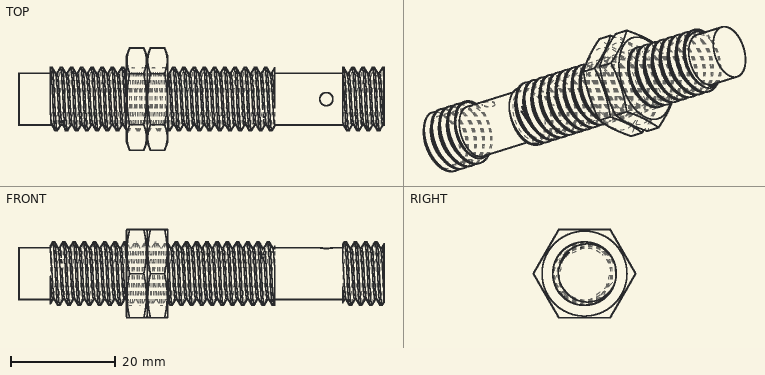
import cadquery as cq
import math

LENGTH = 70.0
ROOT_DIAMETER = 10.0
ROOT_RADIUS = ROOT_DIAMETER / 2

CREST_RADIUS = 6.1
PITCH = 1.95
RIDGE_BASE_WIDTH = 1.6
RIDGE_CREST_WIDTH = 0.35
RIDGE_EMBED = 0.15
MAIN_THREAD_START = 6.0
MAIN_THREAD_END = 49.1
MAIN_THREAD_CREST = 6.65
PLUG_THREAD_START = 62.1
PLUG_THREAD_CREST = 62.6

WINDOW_X = 58.95
WINDOW_RADIUS = 1.25
WINDOW_HEIGHT = math.sqrt(ROOT_RADIUS**2 - WINDOW_RADIUS**2)

NUT_START = 20.6
NUT_SECTION_LENGTH = 4.0
NUT_SECTION_COUNT = 2
ACROSS_FLATS = 17.0
CORNER_RADIUS = ACROSS_FLATS / math.sqrt(3)
NUT_FACE_DIAMETER = 16.3
NUT_FACE_RADIUS = NUT_FACE_DIAMETER / 2
CORNER_CHAMFER_LENGTH = 0.6


def rod(start, end, radius):
    """Cylinder around the X axis."""
    return cq.Workplane("YZ", origin=(start, 0, 0)).circle(radius).extrude(end - start)


def thread_ridge(start, end, crest_x):
    """Helical ridge cut square at start and end; crest_x lies on the +Z side."""
    first_turn = crest_x - 2 * PITCH
    height = math.ceil((end - first_turn) / PITCH + 1) * PITCH
    helix = cq.Wire.makeHelix(PITCH, height, ROOT_RADIUS)
    flank_slope = (RIDGE_BASE_WIDTH - RIDGE_CREST_WIDTH) / 2 / (CREST_RADIUS - ROOT_RADIUS)
    inner_half = RIDGE_BASE_WIDTH / 2 + flank_slope * RIDGE_EMBED
    crest_half = RIDGE_CREST_WIDTH / 2
    inner_radius = ROOT_RADIUS - RIDGE_EMBED
    profile = cq.Workplane("XZ").polyline([
        (inner_radius, -inner_half),
        (CREST_RADIUS, -crest_half),
        (CREST_RADIUS, crest_half),
        (inner_radius, inner_half),
    ]).close()
    ridge = profile.sweep(cq.Workplane(helix), isFrenet=True)
    ridge = ridge.rotate((0, 0, 0), (0, 1, 0), 90)
    ridge = ridge.rotate((0, 0, 0), (1, 0, 0), 180)
    ridge = ridge.translate((first_turn, 0, 0))
    return ridge.intersect(rod(start, end, 2 * CREST_RADIUS))


def make_sensor():
    """Threaded barrel with a flat, round indicator window."""
    barrel = rod(0, LENGTH, ROOT_RADIUS)
    window_cut = (
        cq.Workplane("XY", origin=(WINDOW_X, 0, WINDOW_HEIGHT))
        .circle(WINDOW_RADIUS)
        .extrude(ROOT_RADIUS)
    )
    main_thread = thread_ridge(MAIN_THREAD_START, MAIN_THREAD_END, MAIN_THREAD_CREST)
    plug_thread = thread_ridge(PLUG_THREAD_START, LENGTH, PLUG_THREAD_CREST)
    return barrel.cut(window_cut).union(main_thread).union(plug_thread)


def nut_section(start):
    """Hexagonal section with flats facing +Z and -Z and cone-chamfered corners."""
    hexagon = (
        cq.Workplane("YZ", origin=(start, 0, 0))
        .polygon(6, 2 * CORNER_RADIUS)
        .extrude(NUT_SECTION_LENGTH)
    )
    end = start + NUT_SECTION_LENGTH
    chamfer_envelope = (
        cq.Workplane("XY")
        .polyline([
            (start, 0),
            (start, NUT_FACE_RADIUS),
            (start + CORNER_CHAMFER_LENGTH, CORNER_RADIUS),
            (end - CORNER_CHAMFER_LENGTH, CORNER_RADIUS),
            (end, NUT_FACE_RADIUS),
            (end, 0),
        ])
        .close()
        .revolve(360, (0, 0, 0), (1, 0, 0))
    )
    return hexagon.intersect(chamfer_envelope)


def make_nut(sensor):
    """Double nut whose internal thread matches the sensor."""
    nut = nut_section(NUT_START)
    for index in range(1, NUT_SECTION_COUNT):
        nut = nut.union(nut_section(NUT_START + index * NUT_SECTION_LENGTH))
    return nut.cut(sensor)


sensor = make_sensor()
nut = make_nut(sensor)
result = cq.Compound.makeCompound([sensor.solids().val(), nut.solids().val()])